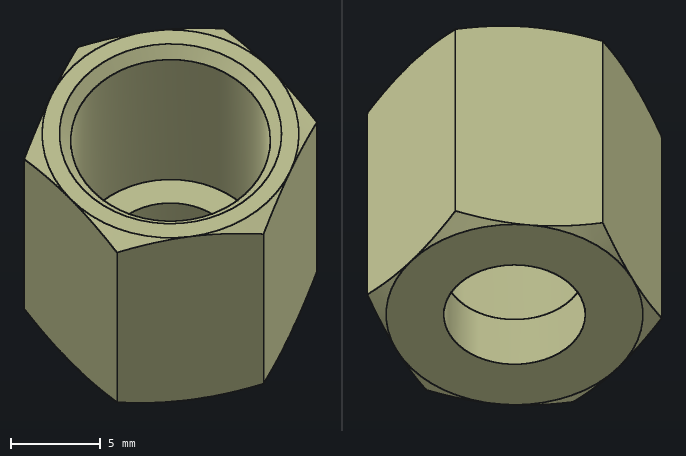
import cadquery as cq
import math

across_corners = 16.5
height = 15.5
across_flats = across_corners * math.cos(math.radians(30))
corner_bevel_angle = 30.0

bore_diameter = 11.1
bore_depth = 12.0
bore_chamfer = 0.63
through_diameter = 7.87


def hex_body():
    """Hexagonal prism whose corners are bevelled at both ends."""
    prism = (
        cq.Workplane("XY")
        .polygon(6, across_corners)
        .extrude(height)
        .rotate((0, 0, 0), (0, 0, 1), 90)
    )
    flat_radius = across_flats / 2
    corner_radius = across_corners / 2
    bevel_drop = (corner_radius - flat_radius) * math.tan(math.radians(corner_bevel_angle))
    envelope = (
        cq.Workplane("XZ")
        .moveTo(0, 0)
        .lineTo(flat_radius, 0)
        .lineTo(corner_radius, bevel_drop)
        .lineTo(corner_radius, height - bevel_drop)
        .lineTo(flat_radius, height)
        .lineTo(0, height)
        .close()
        .revolve(360, (0, 0, 0), (0, 1, 0))
    )
    return prism.intersect(envelope)


def stepped_bore():
    """Wide blind bore with a 45 degree mouth, above a narrower through hole."""
    bore_radius = bore_diameter / 2
    through_radius = through_diameter / 2
    bore_floor = height - bore_depth
    return (
        cq.Workplane("XZ")
        .moveTo(0, 0)
        .lineTo(through_radius, 0)
        .lineTo(through_radius, bore_floor)
        .lineTo(bore_radius, bore_floor)
        .lineTo(bore_radius, height - bore_chamfer)
        .lineTo(bore_radius + bore_chamfer, height)
        .lineTo(0, height)
        .close()
        .revolve(360, (0, 0, 0), (0, 1, 0))
    )


result = hex_body().cut(stepped_bore())